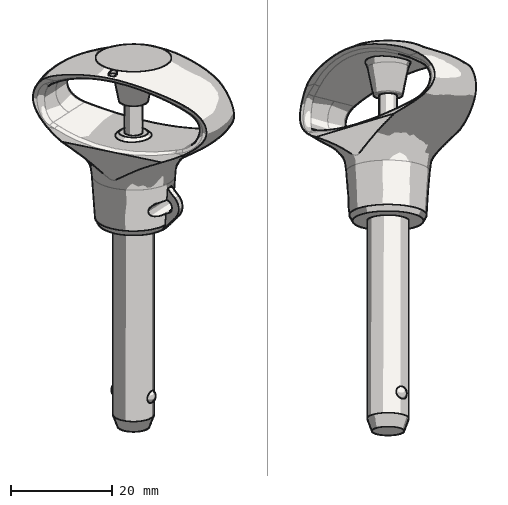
import cadquery as cq
import math

total_height = 78
shaft_radius = 4.1
shaft_overlap = 0.8
tip_radius = 3.2
tip_height = 2.6

ball_radius = 1.5
ball_offset = 3.35
ball_height = 7

collar_bottom = 43.1
collar_bottom_radius = 7
collar_chamfer_top = 44.3
collar_lower_radius = 7.65
collar_top = 53.3
collar_top_radius = 8.3

crown_flat_radius = 7.5
shoulder_radius = 18.2
shoulder_height = 72.4
handle_radius = 20.4
handle_mid_height = 67.55
neck_radius = 9.35
neck_height = 57.1
crown_radius = 13.25
crown_height = 75.4
flare_radius = 16.0
flare_height = 62.1

rim_half_width = 9.75
rim_height = 77.15
waist_corner = 3.6
waist_height = 67.8
waist_round = 8.6
apron_half_width = 8.8
apron_foot_half_width = 8.35
apron_top = 61.85
flare_half_width = 8.6
flare_corner_height = 61.3
edge_round = 0.6

opening_top = 75.8
opening_bottom = 61.55
lens_half_width = 21.45
lens_corner_height = 66.2
opening_end_round = 4.1
opening_edge_round = 1.1

button_top_radius = 4.05
button_bottom_radius = 2.9
button_bottom = 68.8
button_edge_round = 0.3
button_collar_radius = 4.8
button_collar_bottom = 74.65
button_top = 76.45
stem_radius = 1.8
seat_radius = 4.05
seat_top_radius = 2.9
seat_top = 62.25
seat_bottom = 61.2

mark_radius = 0.85
mark_floor = 77.2
mark_offset = crown_flat_radius + mark_radius
tab_center_x = 7.65
tab_center_z = 48.3
tab_radius = 3.05
tab_hole_radius = 1.5
tab_thickness = 1.55
tab_bottom = collar_bottom
tab_top = 52.7
tab_flank = tab_radius / math.sqrt(2)


def cone(radius_low, radius_high, low, high):
    """Cone frustum about Z, with its seam on the -X side, clear of the tab."""
    return (
        cq.Workplane("XZ")
        .polyline([(0, low), (-radius_low, low), (-radius_high, high), (0, high)])
        .close()
        .revolve(360, (0, 0, 0), (0, 1, 0))
    )


def make_revolved_body():
    """Turned outline of the handle, above the collar."""
    return (
        cq.Workplane("XZ")
        .moveTo(0, collar_top)
        .lineTo(collar_top_radius, collar_top)
        .spline(
            [
                (neck_radius, neck_height),
                (flare_radius, flare_height),
                (handle_radius, handle_mid_height),
                (shoulder_radius, shoulder_height),
                (crown_radius, crown_height),
                (crown_flat_radius, total_height),
            ],
            includeCurrent=True,
        )
        .lineTo(0, total_height)
        .close()
        .revolve(360, (0, 0, 0), (0, 1, 0))
    )


def half_prism(outline):
    """Prism along X from the centre plane out to an outline of (y, z) points, for +Y."""
    bottom, top = outline[0][1], outline[-1][1]
    points = [(0, bottom), *outline, (0, top)]
    return cq.Workplane("YZ").polyline(points).close().extrude(2 * handle_radius, both=True)


def both_sides(half):
    return half.union(half.mirror("XZ"))


def make_waisted_block():
    """Block with waisted sides, pierced by the rounded-edge finger opening."""
    flare_slope = (flare_half_width - waist_corner) / (waist_height - flare_corner_height)
    bottom_half_width = waist_corner + flare_slope * (waist_height - collar_bottom)
    half = half_prism(
        [
            (bottom_half_width, collar_bottom),
            (waist_corner, waist_height),
            (rim_half_width, rim_height),
            (rim_half_width - edge_round, total_height),
        ]
    )
    waist_edge = cq.selectors.NearestToPointSelector((0, waist_corner, waist_height))
    half = half.edges(waist_edge).fillet(waist_round)
    half = half.cut(make_opening())
    opening_edges = cq.selectors.BoxSelector(
        (-lens_half_width, waist_corner, opening_bottom - opening_edge_round),
        (lens_half_width, rim_half_width, opening_top + opening_edge_round),
        boundingbox=True,
    )
    half = half.edges(opening_edges).edges("not |Y").fillet(opening_edge_round)
    return both_sides(half)


def make_apron_block():
    """Block whose slightly drafted sides make the flat apron below the opening."""
    return both_sides(
        half_prism(
            [
                (apron_foot_half_width, collar_top),
                (apron_half_width, apron_top),
                (rim_half_width, apron_top),
                (rim_half_width, total_height),
            ]
        )
    )


def make_opening():
    """Finger opening through the handle along Y."""
    return (
        cq.Workplane("XZ")
        .moveTo(-lens_half_width, lens_corner_height)
        .threePointArc((0, opening_bottom), (lens_half_width, lens_corner_height))
        .threePointArc((0, opening_top), (-lens_half_width, lens_corner_height))
        .close()
        .extrude(2 * rim_half_width, both=True)
        .edges("|Y")
        .fillet(opening_end_round)
    )


def make_handle():
    envelope = make_revolved_body().intersect(make_apron_block())
    return envelope.intersect(make_waisted_block())


def make_collar():
    chamfer = cone(collar_bottom_radius, collar_lower_radius, collar_bottom, collar_chamfer_top)
    sleeve = cone(collar_lower_radius, collar_top_radius, collar_chamfer_top, collar_top)
    return chamfer.union(sleeve)


def make_button_and_stem():
    button = cone(button_bottom_radius, button_top_radius, button_bottom, button_collar_bottom)
    button = button.faces("<Z").edges().fillet(button_edge_round)
    button_collar = cone(button_top_radius, button_collar_radius, button_collar_bottom, button_top)
    stem = cone(stem_radius, stem_radius, seat_bottom, button_top)
    seat = cone(seat_radius, seat_top_radius, seat_bottom, seat_top)
    return button.union(button_collar).union(stem).union(seat)


def make_pin():
    pin = cone(tip_radius, shaft_radius, 0, tip_height)
    pin = pin.union(cone(shaft_radius, shaft_radius, tip_height, collar_bottom + shaft_overlap))
    for side in (-1, 1):
        ball = cq.Workplane("XY").sphere(ball_radius)
        pin = pin.union(ball.translate((side * ball_offset, 0, ball_height)))
    return pin


def make_tab():
    """Lanyard tab beside the collar, with straight flanks meeting a round nose."""
    nose = cq.Workplane("XZ").center(tab_center_x, tab_center_z).circle(tab_radius)
    nose = nose.extrude(tab_thickness / 2, both=True)
    web = (
        cq.Workplane("XZ")
        .polyline(
            [
                (0, tab_bottom),
                (collar_bottom_radius, tab_bottom),
                (tab_center_x + tab_flank, tab_center_z - tab_flank),
                (tab_center_x + tab_flank, tab_center_z + tab_flank),
                (collar_lower_radius, tab_top),
                (0, tab_top),
            ]
        )
        .close()
        .extrude(tab_thickness / 2, both=True)
    )
    return nose.union(web)


def make_lanyard_hole():
    hole = cq.Workplane("XZ").center(tab_center_x, tab_center_z).circle(tab_hole_radius)
    return hole.extrude(collar_top_radius, both=True)


def make_crown_marks():
    """Two shallow flat-bottomed pits beside the crown flat."""
    return (
        cq.Workplane("XY", origin=(0, 0, mark_floor))
        .pushPoints([(0, -mark_offset), (0, mark_offset)])
        .circle(mark_radius)
        .extrude(total_height - mark_floor)
    )


collar = make_collar().union(make_tab()).cut(make_lanyard_hole())
body = make_handle().union(collar).union(make_pin()).union(make_button_and_stem())
result = body.cut(make_crown_marks())